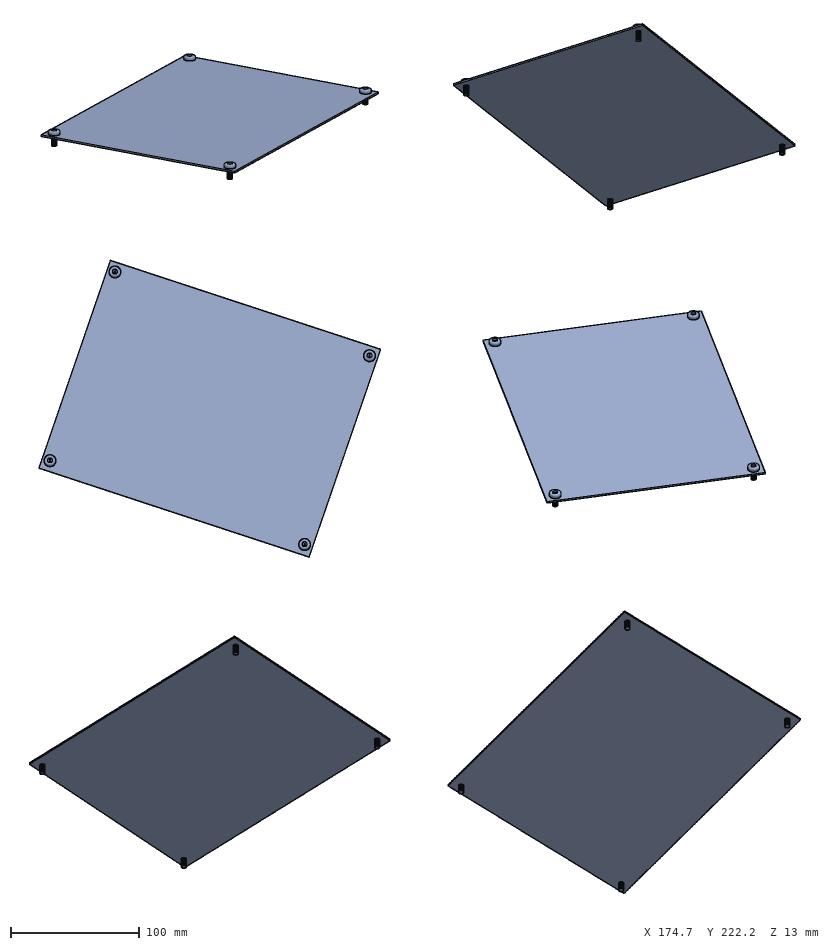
import cadquery as cq

PLATE_WIDTH = 174.7
PLATE_LENGTH = 222.2
PLATE_THICKNESS = 1.5

SCREW_SPACING_X = 158.7
SCREW_SPACING_Y = 209.4
SCREW_CENTERS = [
    (side_x * SCREW_SPACING_X / 2, side_y * SCREW_SPACING_Y / 2)
    for side_x in (-1, 1)
    for side_y in (-1, 1)
]

HEAD_RADIUS = 9.3 / 2
HEAD_HEIGHT = 3.3
HEAD_FILLET = 1.5
SEAT_RADIUS = 9.0 / 2
SEAT_HEIGHT = 0.33

SOCKET_RADIUS = 3.8 / 2
SOCKET_DEPTH = 1.8
PIN_RADIUS = 1.1 / 2
PIN_HEIGHT = 1.0

SCREW_HEIGHT = 13.0
SHANK_RADIUS = 4.2 / 2
SHANK_LENGTH = SCREW_HEIGHT - HEAD_HEIGHT
THREAD_PITCH = 0.7
THREAD_DEPTH = 0.33
THREAD_COUNT = round((SHANK_LENGTH - PLATE_THICKNESS) / THREAD_PITCH)
ROOT_RADIUS = SHANK_RADIUS - THREAD_DEPTH


def make_plate():
    """Flat rectangular plate with a hole that fits each screw shank."""
    blank = cq.Workplane("XY").rect(PLATE_WIDTH, PLATE_LENGTH).extrude(-PLATE_THICKNESS)
    holes = cq.Workplane("XY").pushPoints(SCREW_CENTERS).circle(SHANK_RADIUS).extrude(-PLATE_THICKNESS)
    return blank.cut(holes)


def make_screw_body():
    """Revolved head and shank, with the thread as a stack of V-shaped rings."""
    profile = cq.Workplane("XZ").moveTo(0, -SHANK_LENGTH).lineTo(ROOT_RADIUS, -SHANK_LENGTH)
    for turn in range(THREAD_COUNT):
        ring_bottom = -SHANK_LENGTH + turn * THREAD_PITCH
        profile = profile.lineTo(SHANK_RADIUS, ring_bottom + THREAD_PITCH / 2)
        profile = profile.lineTo(ROOT_RADIUS, ring_bottom + THREAD_PITCH)
    profile = (
        profile.lineTo(SHANK_RADIUS, -PLATE_THICKNESS)
        .lineTo(SHANK_RADIUS, 0)
        .lineTo(SEAT_RADIUS, 0)
        .lineTo(SEAT_RADIUS, SEAT_HEIGHT)
        .lineTo(HEAD_RADIUS, SEAT_HEIGHT)
        .lineTo(HEAD_RADIUS, HEAD_HEIGHT - HEAD_FILLET)
        .radiusArc((HEAD_RADIUS - HEAD_FILLET, HEAD_HEIGHT), -HEAD_FILLET)
        .lineTo(0, HEAD_HEIGHT)
        .close()
    )
    return profile.revolve(360, (0, 0, 0), (0, 1, 0))


def make_screw(center):
    """Screw with its socket, its head resting on the plate at the given XY point."""
    socket = cq.Workplane("XY", origin=(0, 0, HEAD_HEIGHT)).circle(SOCKET_RADIUS).extrude(-SOCKET_DEPTH)
    socket_floor = cq.Workplane("XY", origin=(0, 0, HEAD_HEIGHT - SOCKET_DEPTH))
    pin = socket_floor.circle(PIN_RADIUS).extrude(PIN_HEIGHT)
    screw = make_screw_body().cut(socket.cut(pin))
    return screw.translate((*center, 0))


plate = make_plate()
screws = [make_screw(center) for center in SCREW_CENTERS]

result = cq.Compound.makeCompound([plate.solids().val(), *[screw.solids().val() for screw in screws]])